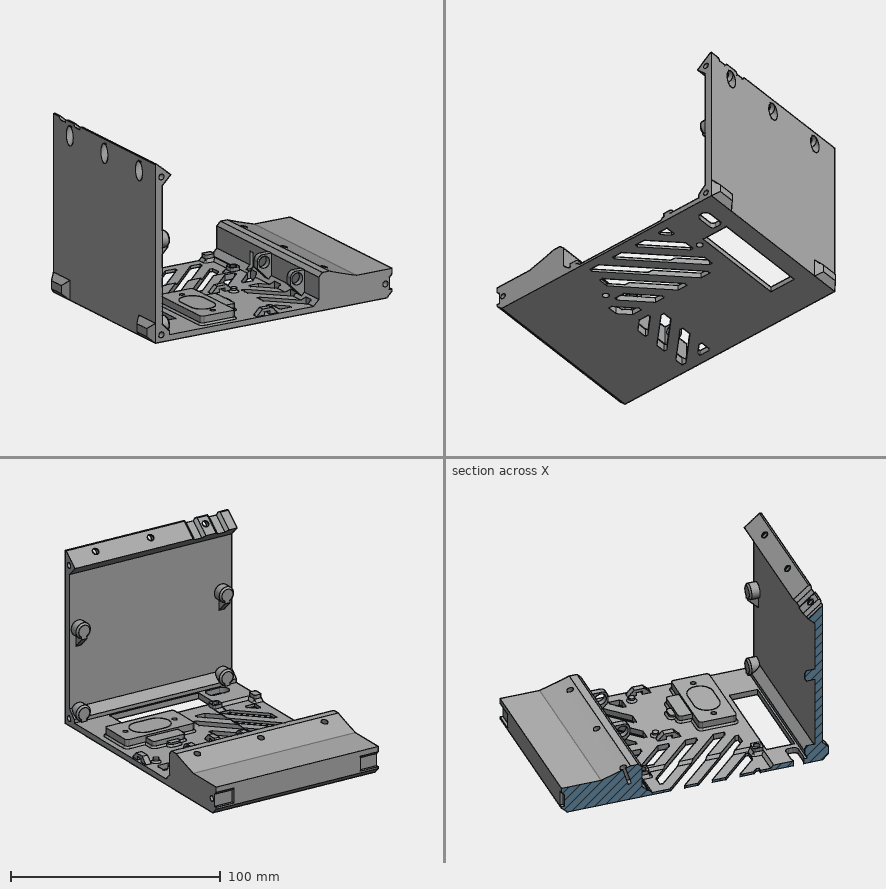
import cadquery as cq
import math

width = 92.0
rear_y = 133.0
wall_height = 89.6
wall_thickness = 4.0
floor_thickness = 3.0
foot_reach = 3.0
mid_x = width / 2
clearance = 1.4

head_flat = 1.0
head_reach = 8.7
head_z = 83.2
gusset_reach = 8.0
gusset_top_z = 9.0
slope_angle = math.degrees(math.atan2(wall_height - head_z, head_reach - head_flat))

block_front_y = 91.8
block_rear_z = 14.4
block_top_z = 19.2
ramp_start_y = 112.9
ramp_end_y = 97.8
ramp_sag = 0.1
top_chamfer = 2.0
edge_chamfer = 3.0
ramp_angle = math.degrees(math.atan2(block_top_z - block_rear_z, ramp_start_y - ramp_end_y))

screw_diameter = 3.3
head_bore_diameter = 6.3
head_bore_depth = 2.0
head_hole_y = 4.0
head_hole_pitch = 31.1
block_hole_y = 101.0
block_hole_pitch = 36.0
block_hole_depth = 9.5
pin_diameter = 2.9
pin_depth = 6.0
pin_places = [(129.2, 7.2), (3.4, 3.7), (3.4, 83.0)]

foot_width = 15.0
foot_height = 10.0

channel_depth = 1.6
channel_width = 4.1
channel_centres = [8.3, 21.4]

standoff_diameter = 8.2
standoff_support_width = 3.0
standoff_end_y = 9.1
standoff_chamfer = 1.0
standoff_spacing = 81.2
standoff_mid_x = 46.4
standoff_heights = [7.1, 49.8]

lug_width = 3.0
lug_left_sides = [46.1, 75.9]
lug_front_y = 84.0
lug_top_z = 17.3
lug_corner_z = 10.6
lug_round = 3.0
lug_hole_y = 87.9
lug_hole_z = 13.3
lug_hole_diameter = 6.0

vent_pitch = 14.1
vent_slot = vent_pitch / 2
vent_start = 78.9
vent_tip = 1.6
vent_margin = 4.9
vent_cut_height = floor_thickness + edge_chamfer + clearance
vent_rib = 5.2
vent_rear_y = 90.6
vent_front_y = 31.7
behind_vent_left = 28.8
bay_vent_rear_y = 80.8
right_vent_front_y = 73.0

bay_depth = 1.5
bay_front_y = 25.0
bay_rear_y = 88.3
bay_right_x = 26.9
post_size = 5.0
edge_post_width = 3.8
post_top_z = 4.9
post_round = 0.8
post_hole_diameter = 3.3

pad_tiers = [
    (49.0, 28.4, 38.9, 19.2, 7.3),
    (58.6, 28.4, 18.2, 26.0, 6.4),
    (63.0, 28.4, 6.3, 28.8, 4.9),
]
pad_round = 1.5
skirt = 1.0
pad_centre = (68.4, 38.2)
pad_hole_spacing = 27.9
pad_hole_diameter = 2.5
pad_hole_depth = 4.4
recess_length = 21.6
recess_width = 12.9
recess_depth = 0.1

peg_centres = [(52.4, 68.7), (84.6, 68.7)]
peg_diameter = 3.0
peg_top_z = 4.9
bridge_left_sides = [47.0, 87.9]
bridge_width = 3.0
bridge_front_y = 57.7
bridge_rear_y = 69.5
bridge_top_z = 6.3
bridge_gap_front_y = 62.0
bridge_gap_rear_y = 65.1
bridge_gap_top_z = 4.6

window_left = 22.2
window_right = 72.6
window_front_y = 9.1
window_rear_y = 23.5
cable_left = 7.2
cable_right = 19.2
cable_rear_y = 15.4
cable_right_round = 1.9

slit_left = 29.8
slit_width = 3.0
slit_floor_z = 4.0
slit_top_z = 12.8
slit_depth = 6.0
notch_depth = 1.5
notch_floor_z = 4.0
notch_top_z = 11.7
notch_length = 10.0


def box(x0, x1, y0, y1, z0, z1):
    """Box between two opposite corners."""
    return cq.Workplane("XY").box(x1 - x0, y1 - y0, z1 - z0, centered=False).translate((x0, y0, z0))


def side_profile(points, x0, length):
    """Y-Z outline extruded along X from x0."""
    return cq.Workplane("YZ", origin=(x0, 0, 0)).polyline(points).close().extrude(length)


def main_body():
    """Floor, upright wall and rear block as one extruded outline."""
    ramp_mid = ((ramp_start_y + ramp_end_y) / 2, (block_rear_z + block_top_z) / 2 - ramp_sag)
    head_foot_z = head_z - (head_reach - wall_thickness)
    gusset_z = gusset_top_z - (gusset_reach - wall_thickness)
    return (
        cq.Workplane("YZ")
        .moveTo(0, 0)
        .lineTo(0, wall_height)
        .lineTo(head_flat, wall_height)
        .lineTo(head_reach, head_z)
        .lineTo(wall_thickness, head_foot_z)
        .lineTo(wall_thickness, gusset_top_z)
        .lineTo(gusset_reach, gusset_z)
        .lineTo(gusset_reach, floor_thickness)
        .lineTo(block_front_y - edge_chamfer, floor_thickness)
        .lineTo(block_front_y, floor_thickness + edge_chamfer)
        .lineTo(block_front_y, block_top_z - top_chamfer)
        .lineTo(block_front_y + top_chamfer, block_top_z)
        .lineTo(ramp_end_y, block_top_z)
        .threePointArc(ramp_mid, (ramp_start_y, block_rear_z))
        .lineTo(rear_y, block_rear_z)
        .lineTo(rear_y, edge_chamfer)
        .lineTo(rear_y - edge_chamfer, 0)
        .close()
        .extrude(width)
    )


def feet():
    """Two feet on the wall's outer face, tapering at 45 degrees."""
    foot = (
        cq.Workplane("XZ")
        .rect(foot_width, foot_height, centered=False)
        .extrude(foot_reach, taper=45)
    )
    return foot.union(foot.translate((width - foot_width, 0, 0)))


def standoff(x, z):
    """Chamfered boss on the wall's inner face with a 45 degree support below it."""
    length = standoff_end_y - wall_thickness
    radius = standoff_diameter / 2
    boss = (
        cq.Workplane("XZ", origin=(x, wall_thickness, z))
        .circle(radius)
        .extrude(-length)
        .faces(">Y")
        .chamfer(standoff_chamfer)
    )
    support = side_profile(
        [
            (wall_thickness, z),
            (standoff_end_y, z),
            (standoff_end_y, z - radius),
            (wall_thickness, z - radius - length),
        ],
        x - standoff_support_width / 2,
        standoff_support_width,
    )
    above_floor = box(0, width, 0, rear_y, 0, wall_height)
    return boss.union(support).intersect(above_floor)


def lug(x0):
    """Rounded lug on the block's front face, running down to the block's lower chamfer."""
    root_y = block_front_y + clearance
    plate = (
        side_profile(
            [
                (root_y, lug_top_z),
                (lug_front_y, lug_top_z),
                (lug_front_y, lug_corner_z),
                (root_y, lug_corner_z - (root_y - lug_front_y)),
            ],
            x0,
            lug_width,
        )
        .edges("|X and <Y and >Z")
        .fillet(lug_round)
    )
    bounds = box(x0, x0 + lug_width, lug_front_y, root_y, floor_thickness, lug_top_z)
    hole = (
        cq.Workplane("YZ", origin=(x0, 0, 0))
        .center(lug_hole_y, lug_hole_z)
        .circle(lug_hole_diameter / 2)
        .extrude(lug_width)
    )
    return plate.intersect(bounds).cut(hole)


def vent_slots(left, right, front, rear, steps):
    """45 degree slots filling a rectangle, each sharp end cut off square to the side it touches."""
    slots = cq.Workplane("XY")
    for step in steps:
        near = vent_start + step * vent_pitch
        far = near + vent_slot
        bar = (
            cq.Workplane("XY", origin=(0, 0, -clearance))
            .polyline([(near - rear, rear), (far - rear, rear), (far - front, front), (near - front, front)])
            .close()
            .extrude(vent_cut_height)
        )
        bounds = box(
            max(left, near - rear + vent_tip),
            min(right, far - front - vent_tip),
            max(front, near - right + vent_tip),
            min(rear, far - left - vent_tip),
            -clearance,
            vent_cut_height,
        )
        slots = slots.add(bar.intersect(bounds))
    return slots


def vents():
    """Left vent fields beside and behind the board bay, and a shorter mirrored field on the right."""
    right = mid_x - vent_rib / 2
    beside_bay = vent_slots(vent_margin, right, vent_front_y, bay_vent_rear_y, range(-3, 2))
    behind_bay = vent_slots(behind_vent_left, right, vent_front_y, vent_rear_y, range(2, 4))
    short_field = vent_slots(vent_margin, right, right_vent_front_y, vent_rear_y, range(0, 4))
    return beside_bay.add(behind_bay).add(short_field.mirror("YZ", (mid_x, 0, 0)))


def board_bay():
    """Sunken bay with 45 degree walls, open to the left end and stepped around the four posts."""
    front_step_y = bay_front_y + post_size
    rear_step_y = bay_rear_y - post_size
    right_step_x = bay_right_x - post_size
    outside_x = -2 * bay_depth
    return (
        cq.Workplane("XY", origin=(0, 0, floor_thickness))
        .polyline(
            [
                (outside_x, front_step_y),
                (edge_post_width, front_step_y),
                (edge_post_width, bay_front_y),
                (right_step_x, bay_front_y),
                (right_step_x, front_step_y),
                (bay_right_x, front_step_y),
                (bay_right_x, rear_step_y),
                (right_step_x, rear_step_y),
                (right_step_x, bay_rear_y),
                (edge_post_width, bay_rear_y),
                (edge_post_width, rear_step_y),
                (outside_x, rear_step_y),
            ]
        )
        .close()
        .extrude(-bay_depth, taper=45)
    )


def board_posts():
    """Four posts at the bay's corners."""
    posts = cq.Workplane("XY")
    for y0 in (bay_front_y, bay_rear_y - post_size):
        for x0, x1 in ((0, edge_post_width), (bay_right_x - post_size, bay_right_x)):
            post = box(x0, x1, y0, y0 + post_size, floor_thickness, post_top_z)
            posts = posts.add(post.edges("|Z").fillet(post_round))
    return posts


def board_post_holes():
    """Through holes in the two right-hand posts."""
    half = post_size / 2
    places = [(bay_right_x - half, bay_front_y + half), (bay_right_x - half, bay_rear_y - half)]
    return (
        cq.Workplane("XY", origin=(0, 0, -clearance))
        .pushPoints(places)
        .circle(post_hole_diameter / 2)
        .extrude(post_top_z + 2 * clearance)
    )


def pad_tier(x0, y0, tier_width, tier_length, top_z):
    """Rounded block with a 45 degree skirt at the floor."""
    centre = (x0 + tier_width / 2, y0 + tier_length / 2, floor_thickness)
    block = (
        cq.Workplane("XY", origin=centre)
        .rect(tier_width, tier_length)
        .extrude(top_z - floor_thickness)
        .edges("|Z")
        .fillet(pad_round)
    )
    outer = (
        cq.Sketch()
        .rect(tier_width + 2 * skirt, tier_length + 2 * skirt)
        .vertices()
        .fillet(pad_round + skirt)
    )
    return block.union(cq.Workplane("XY", origin=centre).placeSketch(outer).extrude(skirt, taper=45))


def pad_cuts():
    """Two blind holes and a shallow rounded recess in the pad's top."""
    top_z = pad_tiers[0][-1]
    plane = cq.Workplane("XY", origin=(*pad_centre, top_z))
    holes = (
        plane.rarray(pad_hole_spacing, 1.4, 2, 1).circle(pad_hole_diameter / 2).extrude(-pad_hole_depth)
    )
    return holes.union(plane.slot2D(recess_length, recess_width).extrude(-recess_depth))


def peg(x, y):
    """Round peg flared at its foot."""
    radius = peg_diameter / 2
    return (
        cq.Workplane("XZ", origin=(x, y, 0))
        .polyline(
            [
                (0, floor_thickness),
                (radius + skirt, floor_thickness),
                (radius, floor_thickness + skirt),
                (radius, peg_top_z),
                (0, peg_top_z),
            ]
        )
        .close()
        .revolve(360, (0, 0, 0), (0, 1, 0))
    )


def bridge(x0):
    """Strap bridge with 45 degree ends and an opening under it."""
    rise = bridge_top_z - floor_thickness
    arch = side_profile(
        [
            (bridge_front_y, floor_thickness),
            (bridge_front_y + rise, bridge_top_z),
            (bridge_rear_y - rise, bridge_top_z),
            (bridge_rear_y, floor_thickness),
        ],
        x0,
        bridge_width,
    )
    return arch.cut(
        box(
            x0,
            x0 + bridge_width,
            bridge_gap_front_y,
            bridge_gap_rear_y,
            floor_thickness,
            bridge_gap_top_z,
        )
    )


def floor_windows():
    """Rectangular window and a cable opening with a fully round left end."""
    top = floor_thickness + clearance
    window = box(window_left, window_right, window_front_y, window_rear_y, -clearance, top)
    cable = box(cable_left, cable_right, window_front_y, cable_rear_y, -clearance, top)
    left_round = 0.49 * (cable_rear_y - window_front_y)
    cable = cable.edges("|Z and <X").fillet(left_round).edges("|Z and >X").fillet(cable_right_round)
    return window.add(cable)


def head_plane(x, y):
    """Workplane on the wall head's sloped top, facing out of it, with its local X along the part's X."""
    z = head_z + (head_reach - y) * math.tan(math.radians(slope_angle))
    normal = (0, math.sin(math.radians(slope_angle)), math.cos(math.radians(slope_angle)))
    return cq.Workplane(cq.Plane(origin=(x, y, z), xDir=(1, 0, 0), normal=normal))


def head_holes():
    """Screw holes square to the sloped top, each with a bore for a cone head from the wall's outer face."""
    shank_radius = screw_diameter / 2
    bore_radius = head_bore_diameter / 2
    bore_end = 2 * head_reach
    holes = cq.Workplane("XY")
    for step in (-1, 0, 1):
        plane = head_plane(mid_x + step * head_hole_pitch, head_hole_y)
        profile = (
            cq.Workplane(cq.Plane(plane.plane.origin, plane.plane.xDir, -plane.plane.yDir))
            .polyline(
                [
                    (0, clearance),
                    (shank_radius, clearance),
                    (shank_radius, bore_radius - shank_radius - head_bore_depth),
                    (bore_radius, -head_bore_depth),
                    (bore_radius, -bore_end),
                    (0, -bore_end),
                ]
            )
            .close()
        )
        holes = holes.add(profile.revolve(360, (0, 0, 0), (0, 1, 0)))
    return holes


def cable_channels():
    """Channels with 45 degree sides running down the sloped top."""
    channels = cq.Workplane("XY")
    half = channel_width / 2
    run = 2 * head_reach
    for x in channel_centres:
        plane = head_plane(x, 0)
        section = (
            cq.Workplane(cq.Plane(plane.plane.toWorldCoords((0, run, 0)), (1, 0, 0), plane.plane.yDir))
            .polyline(
                [
                    (-half, channel_depth),
                    (half, channel_depth),
                    (half + 2 * channel_depth, -channel_depth),
                    (-half - 2 * channel_depth, -channel_depth),
                ]
            )
            .close()
            .extrude(-2 * run)
        )
        channels = channels.add(section)
    return channels


def block_holes():
    """Blind screw holes square to the block's ramp."""
    ramp_share = (ramp_start_y - block_hole_y) / (ramp_start_y - ramp_end_y)
    z = block_rear_z + ramp_share * (block_top_z - block_rear_z)
    tilt = math.radians(ramp_angle)
    holes = cq.Workplane("XY")
    for step in (-1, 0, 1):
        plane = cq.Plane(
            origin=(mid_x + step * block_hole_pitch, block_hole_y, z),
            xDir=(1, 0, 0),
            normal=(0, math.sin(tilt), math.cos(tilt)),
        )
        drill = cq.Workplane(plane).workplane(offset=clearance).circle(screw_diameter / 2)
        holes = holes.add(drill.extrude(-block_hole_depth - clearance))
    return holes


def pin_holes():
    """Blind holes in both ends of the part."""
    holes = cq.Workplane("YZ").pushPoints(pin_places).circle(pin_diameter / 2).extrude(pin_depth)
    return holes.add(holes.translate((width - pin_depth, 0, 0)))


def block_slit():
    """Upright slit in the block's front face."""
    return box(
        slit_left,
        slit_left + slit_width,
        block_front_y - edge_chamfer,
        block_front_y + slit_depth,
        slit_floor_z,
        slit_top_z,
    )


def rear_notches():
    """Notch with a 45 degree roof at each end of the block's rear face."""
    notch = side_profile(
        [
            (rear_y, notch_floor_z),
            (rear_y - notch_depth, notch_floor_z),
            (rear_y - notch_depth, notch_top_z - notch_depth),
            (rear_y, notch_top_z),
        ],
        0,
        notch_length,
    )
    return notch.add(notch.translate((width - notch_length, 0, 0)))


body = main_body().union(feet())
for side in (-1, 1):
    for height in standoff_heights:
        body = body.union(standoff(standoff_mid_x + side * standoff_spacing / 2, height))
for left_side in lug_left_sides:
    body = body.union(lug(left_side))
for left_side in bridge_left_sides:
    body = body.union(bridge(left_side))
for centre in peg_centres:
    body = body.union(peg(*centre))
for tier in pad_tiers:
    body = body.union(pad_tier(*tier))

body = body.cut(board_bay())
for post in board_posts().vals():
    body = body.union(cq.Workplane(post))

cutters = [
    vents(),
    board_post_holes(),
    pad_cuts(),
    floor_windows(),
    head_holes(),
    cable_channels(),
    block_holes(),
    pin_holes(),
    block_slit(),
    rear_notches(),
]
for cutter in cutters:
    for solid in cutter.vals():
        body = body.cut(cq.Workplane(solid))

result = body